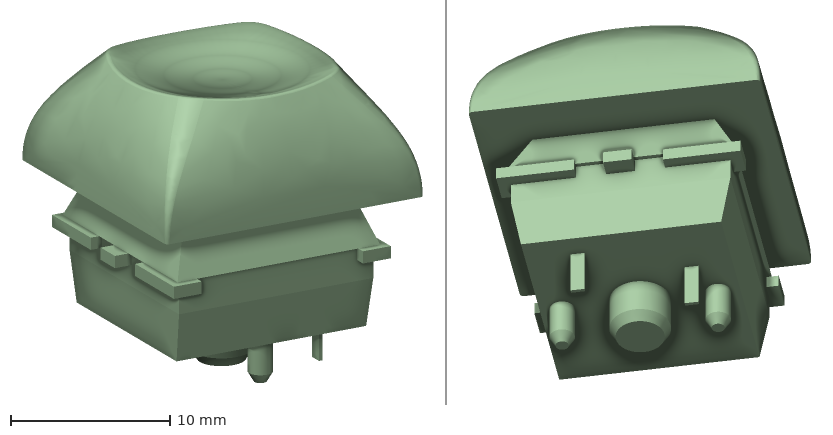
import cadquery as cq
import math

TOTAL_HEIGHT = 19.85
SWITCH_Y = -0.08

HOUSING_BOTTOM_Z = 2.92
WALL_BOTTOM_Z = 6.27
RIM_BOTTOM_Z = 7.68
RIM_TOP_Z = 8.5
WALL_TOP_Z = 8.55
CAP_BOTTOM_Z = 11.99

FOOT_SIZE = (12.78, 13.68)
WALL_SIZE = (14.01, 14.01)
SHOULDER_SIZE = (14.69, 14.6)
NECK_SIZE = (11.63, 11.99)

RIM_SIZE = (15.6, 15.65)
CLIP_GAP_X = 5.68
CLIP_GAP_Y = 11.63
MIDDLE_CLIP_WIDTH = 1.83
MIDDLE_CLIP_SPAN = 16.4

POST_TIP_HEIGHT = 0.65
CENTRE_POST_DIAMETER = 3.9
CENTRE_POST_TIP_DIAMETER = 3.1
SIDE_POST_DIAMETER = 1.6
SIDE_POST_TIP_DIAMETER = 0.83
SIDE_POST_X = 4.98
PIN_WIDTH = 0.9
PIN_THICKNESS = 0.24
PIN_POSITIONS = [(-3.77, 2.58), (3.05, 5.1)]

CAP_WIDTH = 18.6
CAP_PROFILE_RADIUS = 12.5
CAP_SIDE_RADIUS = 13.1
CAP_BOTTOM_CORNER_RADIUS = 0.25
CAP_TOP_CORNER_RADIUS = 1.98
BULGE_EXPONENT = 3.3
CORNER_EXPONENT = 2.0
CAP_SECTION_COUNT = 6
QUARTERS = 4
CAP_TRIM_ALLOWANCE = 0.4
DISH_RADIUS = 20.85
DISH_BOTTOM_Z = 18.52
RIM_ROUND_RADIUS = 0.25


def block(size, bottom_z, top_z):
    """A centred box between two heights."""
    height = top_z - bottom_z
    return cq.Workplane("XY", origin=(0, 0, bottom_z)).box(*size, height, centered=(True, True, False))


def frustum(bottom_size, bottom_z, top_size, top_z):
    """A straight-sided rectangular taper between two heights."""
    base = cq.Workplane("XY", origin=(0, 0, bottom_z)).rect(*bottom_size)
    return base.workplane(offset=top_z - bottom_z).rect(*top_size).loft(ruled=True)


def mounting_rim():
    """Four corner clips and one narrow clip in the middle of the front and of the back."""
    along_x = block((CLIP_GAP_X, RIM_SIZE[1]), RIM_BOTTOM_Z, RIM_TOP_Z)
    along_y = block((RIM_SIZE[0], CLIP_GAP_Y), RIM_BOTTOM_Z, RIM_TOP_Z)
    corners = block(RIM_SIZE, RIM_BOTTOM_Z, RIM_TOP_Z).cut(along_x).cut(along_y)
    middle = block((MIDDLE_CLIP_WIDTH, MIDDLE_CLIP_SPAN), RIM_BOTTOM_Z, RIM_TOP_Z)
    return corners.union(middle)


def post(x, diameter, tip_diameter):
    """A round post with a conical tip, reaching from Z = 0 to the underside of the housing."""
    outline = (
        cq.Workplane("XZ")
        .lineTo(tip_diameter / 2, 0)
        .lineTo(diameter / 2, POST_TIP_HEIGHT)
        .lineTo(diameter / 2, HOUSING_BOTTOM_Z)
        .lineTo(0, HOUSING_BOTTOM_Z)
        .close()
    )
    return outline.revolve().translate((x, 0, 0))


def cap_section(height):
    """Wire of the keycap at a height above its bottom: a square that turns into a bulging squircle."""
    rise = height / (TOTAL_HEIGHT - CAP_BOTTOM_Z)
    inset = CAP_PROFILE_RADIUS - math.sqrt(CAP_PROFILE_RADIUS**2 - height**2)
    half_width = CAP_WIDTH / 2 - inset
    corner_growth = CAP_TOP_CORNER_RADIUS - CAP_BOTTOM_CORNER_RADIUS
    corner_radius = CAP_BOTTOM_CORNER_RADIUS + corner_growth * rise**CORNER_EXPONENT

    if height == 0:
        corner_centre = half_width - corner_radius
        side_end = (corner_centre, half_width)
    else:
        side_radius = CAP_SIDE_RADIUS / rise**BULGE_EXPONENT
        side_offset = side_radius - half_width
        reach = side_radius - corner_radius
        corner_centre = (math.sqrt(2 * reach**2 - side_offset**2) - side_offset) / 2
        stretch = side_radius / reach
        side_end = (corner_centre * stretch, (corner_centre + side_offset) * stretch - side_offset)

    corner_middle = corner_centre + corner_radius / math.sqrt(2)
    plane = cq.Workplane("XY", origin=(0, 0, CAP_BOTTOM_Z + height))
    side_start = plane.moveTo(-side_end[0], side_end[1])
    if height == 0:
        side = side_start.lineTo(*side_end)
    else:
        side = side_start.threePointArc((0, half_width), side_end)
    quarter = side.threePointArc((corner_middle, corner_middle), (side_end[1], side_end[0])).wire()
    edges = []
    for turn in range(QUARTERS):
        edges += quarter.rotate((0, 0, 0), (0, 0, 1), -360 / QUARTERS * turn).edges().vals()
    return cq.Wire.assembleEdges(edges)


def keycap():
    """Lofted cap with a spherical finger dish and a rounded dish rim."""
    loft_height = TOTAL_HEIGHT + CAP_TRIM_ALLOWANCE - CAP_BOTTOM_Z
    last = CAP_SECTION_COUNT - 1
    sections = [cap_section(loft_height * i / last) for i in range(CAP_SECTION_COUNT)]
    body = cq.Workplane(cq.Solid.makeLoft(sections))
    dish = cq.Workplane("XY", origin=(0, 0, DISH_BOTTOM_Z + DISH_RADIUS)).sphere(DISH_RADIUS)
    return body.cut(dish).faces("%SPHERE").edges().fillet(RIM_ROUND_RADIUS)


switch = frustum(FOOT_SIZE, HOUSING_BOTTOM_Z, WALL_SIZE, WALL_BOTTOM_Z)
switch = switch.union(block(WALL_SIZE, WALL_BOTTOM_Z, WALL_TOP_Z))
switch = switch.union(frustum(SHOULDER_SIZE, WALL_TOP_Z, NECK_SIZE, CAP_BOTTOM_Z))
switch = switch.union(mounting_rim())
switch = switch.union(post(0, CENTRE_POST_DIAMETER, CENTRE_POST_TIP_DIAMETER))
for side in (-1, 1):
    switch = switch.union(post(side * SIDE_POST_X, SIDE_POST_DIAMETER, SIDE_POST_TIP_DIAMETER))
switch = switch.translate((0, SWITCH_Y, 0))
for x, y in PIN_POSITIONS:
    pin = block((PIN_WIDTH, PIN_THICKNESS), 0, HOUSING_BOTTOM_Z).translate((x, y, 0))
    switch = switch.union(pin)

result = switch.union(keycap())